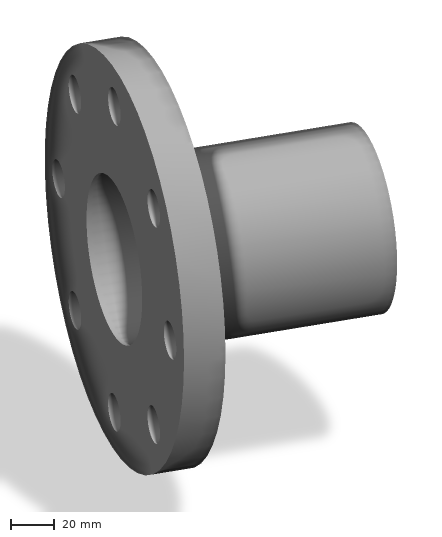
import cadquery as cq

flange_diameter = 200.0
flange_thickness = 20.0

overall_length = 121.5
tube_diameter = 89.0
bore_diameter = 80.0

bolt_circle_diameter = 160.0
bolt_hole_diameter = 18.0
bolt_hole_count = 8

flange_face = cq.Workplane("XZ")

flange = flange_face.circle(flange_diameter / 2).extrude(-flange_thickness)
tube = flange_face.circle(tube_diameter / 2).extrude(-overall_length)
bore = flange_face.circle(bore_diameter / 2).extrude(-overall_length)

bolt_holes = (
    flange_face
    .polarArray(bolt_circle_diameter / 2, 0, 360, bolt_hole_count)
    .circle(bolt_hole_diameter / 2)
    .extrude(-flange_thickness)
)

result = flange.union(tube).cut(bore).cut(bolt_holes)